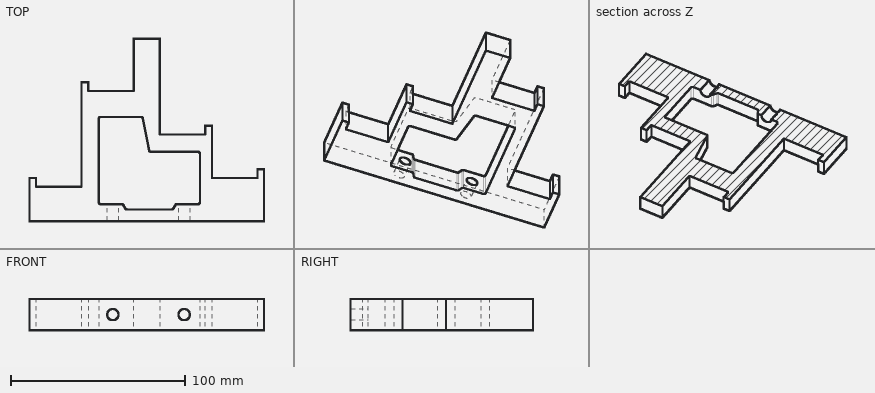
import cadquery as cq
import math

length = 135.0
depth = 105.0
thickness = 18.0

slot_width = 26.0
lip_width = 4.0
lip_height = 5.0
step_width = slot_width + lip_width
post_left = 2 * step_width
post_right = length - 2 * step_width

left_outer_floor = 20.0
left_inner_floor = 75.0
right_outer_floor = 25.0
right_inner_floor = 50.0

window_left = 40.0
window_right = 98.0
window_bottom = 10.0
window_top = 60.0
window_shoulder = 40.0
slant_top_x = 65.0
slant_bottom_x = 69.0
window_corner_radius = 1.0

relief_depth = 3.0
relief_floor_width = 27.0
relief_side_angle = 60.0
relief_side_run = relief_depth / math.tan(math.radians(relief_side_angle))
relief_mouth_width = relief_floor_width + 2 * relief_side_run

hole_diameter = 6.5
hole_centers_x = (48.0, 89.0)


def make_body():
    """Stepped plate with its lipped terraces."""
    outline = [
        (0, 0),
        (length, 0),
        (length, right_outer_floor + lip_height),
        (length - lip_width, right_outer_floor + lip_height),
        (length - lip_width, right_outer_floor),
        (length - step_width, right_outer_floor),
        (length - step_width, right_inner_floor + lip_height),
        (length - step_width - lip_width, right_inner_floor + lip_height),
        (length - step_width - lip_width, right_inner_floor),
        (post_right, right_inner_floor),
        (post_right, depth),
        (post_left, depth),
        (post_left, left_inner_floor),
        (step_width + lip_width, left_inner_floor),
        (step_width + lip_width, left_inner_floor + lip_height),
        (step_width, left_inner_floor + lip_height),
        (step_width, left_outer_floor),
        (lip_width, left_outer_floor),
        (lip_width, left_outer_floor + lip_height),
        (0, left_outer_floor + lip_height),
    ]
    return cq.Workplane("XY").polyline(outline).close().extrude(thickness)


def make_window():
    """Through-cutter for the window and its relief, with all upright corners rounded."""
    relief_center_x = (window_left + window_right) / 2
    relief_floor_y = window_bottom - relief_depth
    outline = [
        (window_left, window_bottom),
        (relief_center_x - relief_mouth_width / 2, window_bottom),
        (relief_center_x - relief_floor_width / 2, relief_floor_y),
        (relief_center_x + relief_floor_width / 2, relief_floor_y),
        (relief_center_x + relief_mouth_width / 2, window_bottom),
        (window_right, window_bottom),
        (window_right, window_shoulder),
        (slant_bottom_x, window_shoulder),
        (slant_top_x, window_top),
        (window_left, window_top),
    ]
    window = cq.Workplane("XY").polyline(outline).close().extrude(thickness)
    return window.edges("|Z").fillet(window_corner_radius)


def make_hole(center_x):
    """Cutter along Y from the front face into the window."""
    return (
        cq.Workplane("XZ")
        .center(center_x, thickness / 2)
        .circle(hole_diameter / 2)
        .extrude(-window_bottom)
    )


result = make_body().cut(make_window())
for hole_x in hole_centers_x:
    result = result.cut(make_hole(hole_x))